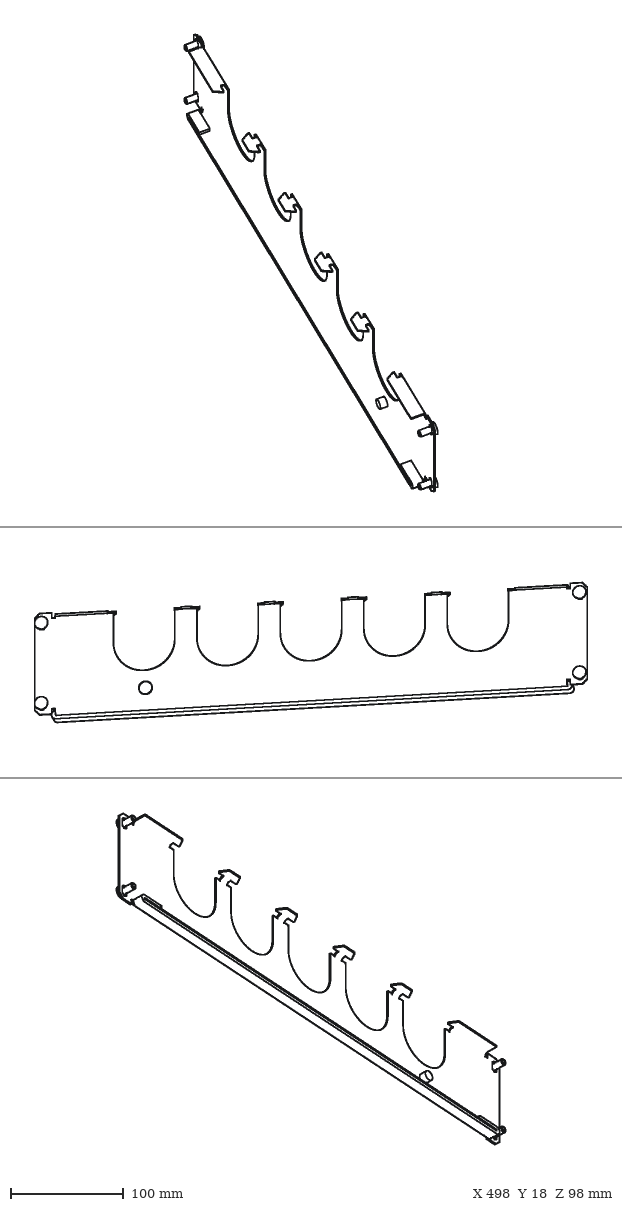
import cadquery as cq

panel_length = 498.0
panel_top = 98.0
panel_bottom = 3.25
corner_chamfer = 4.5
sheet = 1.5
top_bend_radius = 4.5
bottom_bend_radius = 3.0
flange_depth = 15.0
flange_half_length = 230.5
flange_end_gap = 3.0

notch_count = 5
notch_width = 55.5
post_width = 20.0
notch_bottom = 39.5

neck_inset = 5.5
tab_overhang = 1.5
tip_inset = 3.0
tab_straight_depth = 7.5
relief_height = 5.0
post_relief_height = 3.5
neck_depth = 6.0

strip_back = 4.5
strip_half_length = 234.5
strip_tab_length = 26.0

fastener_x = 242.5
fastener_low_z = 13.0
fastener_high_z = 88.0
pin_diameter = 6.0
pin_reach = 13.0
pin_chamfer = 1.0
slot_height = 11.0
head_diameter = 12.0
head_seat_diameter = 10.0
head_height = 3.0

knob_x = 149.0
knob_z = 22.5
knob_diameter = 9.5
knob_reach = 8.5
collar_diameter = 12.0
collar_height = 1.5

notch_radius = notch_width / 2
notch_pitch = notch_width + post_width
outer_notch_x = (notch_count - 1) / 2 * notch_pitch
notch_xs = [i * notch_pitch - outer_notch_x for i in range(notch_count)]
post_xs = [x + notch_pitch / 2 for x in notch_xs[:-1]]
end_post_edge = outer_notch_x + notch_radius
strip_sheet = panel_bottom
strip_height = 2 * strip_sheet + sheet
fastener_places = [(x, z) for x in (-fastener_x, fastener_x) for z in (fastener_low_z, fastener_high_z)]


def cylinder_y(x, z, diameter, y_from, y_to):
    """Round bar along Y between two Y places."""
    disc = cq.Workplane("XZ", origin=(x, y_from, z)).circle(diameter / 2)
    return disc.extrude(y_from - y_to)


def angle_bar(bend_radius):
    """Upright leg and top flange joined by a rounded bend, as long as the bottom flange."""
    inner_radius = bend_radius - sheet
    profile = (
        cq.Workplane("YZ", origin=(-flange_half_length, 0, 0))
        .moveTo(0, panel_top - relief_height)
        .lineTo(0, panel_top - bend_radius)
        .radiusArc((-bend_radius, panel_top), -bend_radius)
        .lineTo(-flange_depth, panel_top)
        .lineTo(-flange_depth, panel_top - sheet)
        .lineTo(-bend_radius, panel_top - sheet)
        .radiusArc((-sheet, panel_top - bend_radius), inner_radius)
        .lineTo(-sheet, panel_top - relief_height)
        .close()
    )
    return profile.extrude(2 * flange_half_length)


def tab_outline(x, post_edge):
    """Block whose plan is a tab on a post: a narrow neck, a wide part and a narrowing tip."""
    neck = post_edge - neck_inset
    wide = post_edge + tab_overhang
    tip = post_edge - tip_inset
    half_plan = [
        (x, 0),
        (x + neck, 0),
        (x + neck, -neck_depth),
        (x + wide, -neck_depth),
        (x + wide, -tab_straight_depth),
        (x + tip, -flange_depth),
        (x, -flange_depth),
    ]
    half = cq.Workplane("XY").polyline(half_plan).close().extrude(panel_top)
    return half.union(half.mirror("YZ", (x, 0, 0)))


def top_tabs():
    """Tabs on the posts between notches, and a long tab at each end of the panel."""
    bar = angle_bar(top_bend_radius)
    outlines = [tab_outline(x, post_width / 2) for x in post_xs]
    panel_end = panel_length / 2
    outlines += [tab_outline(x, panel_end - end_post_edge) for x in (-panel_end, panel_end)]
    return [bar.intersect(outline) for outline in outlines]


def bottom_flange():
    """Flange along the bottom edge, the top bend turned over."""
    flange = angle_bar(bottom_bend_radius)
    return flange.mirror("XY").translate((0, 0, panel_top + panel_bottom))


def sheet_block(x, width, z_low, z_high):
    """Block as thick as the sheet, centred on an X place, between two heights."""
    block = cq.Workplane("XY").box(width, sheet, z_high - z_low)
    return block.translate((x, -sheet / 2, (z_low + z_high) / 2))


def make_panel():
    panel = sheet_block(0, panel_length, panel_bottom, panel_top).edges("|Y").chamfer(corner_chamfer)
    recess_width = 2 * (flange_half_length + flange_end_gap)
    panel = panel.cut(sheet_block(0, recess_width, panel_bottom, panel_bottom + relief_height))
    panel = panel.cut(sheet_block(0, recess_width, panel_top - relief_height, panel_top))
    shoulder_z = panel_top - post_relief_height
    panel = panel.union(sheet_block(0, 2 * flange_half_length, panel_top - relief_height, shoulder_z))
    notch_center_z = notch_bottom + notch_radius
    for x in notch_xs:
        panel = panel.cut(cylinder_y(x, notch_center_z, notch_width, 0, -sheet))
        panel = panel.cut(sheet_block(x, notch_width, notch_center_z, panel_top))
    for flange in [bottom_flange(), *top_tabs()]:
        panel = panel.union(flange)
    slots = (
        cq.Workplane("XZ").pushPoints(fastener_places).slot2D(slot_height, pin_diameter, 90).extrude(sheet)
    )
    return panel.cut(slots).cut(cylinder_y(knob_x, knob_z, knob_diameter, 0, -sheet))


def make_strip():
    """Flat strip with half-round folds at both ends; the folds grip the bottom flange."""
    width = flange_depth - strip_back
    center_y = -(flange_depth + strip_back) / 2
    middle_z = strip_height / 2
    strip = (
        cq.Workplane("XZ", origin=(0, -strip_back, middle_z))
        .slot2D(2 * strip_half_length, strip_height)
        .extrude(width)
    )
    opening_length = 2 * (strip_half_length - strip_tab_length)
    opening = cq.Workplane("XY").box(opening_length, width, strip_height)
    strip = strip.cut(opening.translate((0, center_y, strip_sheet + middle_z)))
    gap = cq.Workplane("XY").box(2 * flange_half_length, width, sheet)
    return strip.cut(gap.translate((0, center_y, panel_bottom + sheet / 2)))


def make_fastener(x, z):
    pin = cylinder_y(x, z, pin_diameter, 0, -pin_reach).faces("<Y").chamfer(pin_chamfer)
    head = (
        cq.Workplane("XZ", origin=(x, 0, z))
        .circle(head_seat_diameter / 2)
        .workplane(offset=-head_height)
        .circle(head_diameter / 2)
        .loft()
    )
    return head.union(pin)


def make_knob():
    collar = cylinder_y(knob_x, knob_z, collar_diameter, collar_height, 0)
    return collar.union(cylinder_y(knob_x, knob_z, knob_diameter, 0, -knob_reach))


panel = make_panel()
strip = make_strip()
fasteners = [make_fastener(x, z) for x, z in fastener_places]
knob = make_knob()

result = cq.Compound.makeCompound(
    [panel.val(), strip.val(), *[fastener.val() for fastener in fasteners], knob.val()]
)